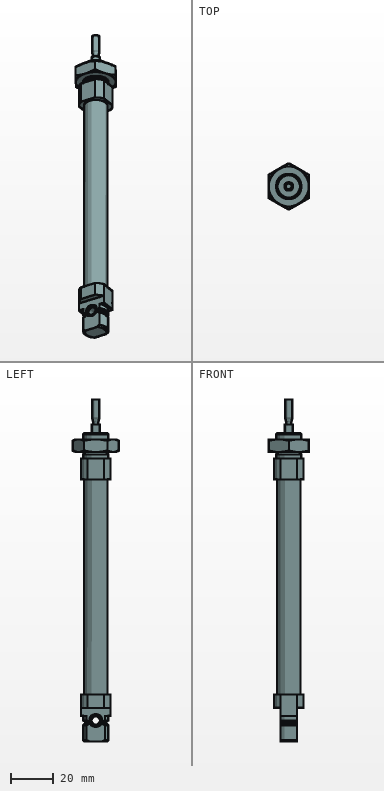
import cadquery as cq
import math

TOTAL_LENGTH = 162.2

ROD_DIA = 4.0
ROD_PROJECTION = 16.0
THREAD_DIA = 3.5
THREAD_LENGTH = 8.8
THREAD_TIP_DIA = 2.8
THREAD_TIP_CHAMFER = 0.2
RELIEF_DIA = 2.6
RELIEF_LENGTH = 3.1
RELIEF_TAPER_LENGTH = 2.0

NECK_DIA = 12.0
NECK_CORE_DIA = 10.65
NECK_CHAMFER = (NECK_DIA - NECK_CORE_DIA) / 2
NECK_LENGTH = 12.0
UNDERCUT_DIA = 10.0
UNDERCUT_CONE_HEIGHT = 1.1

NUT_ACROSS_FLATS = 19.0
NUT_HEIGHT = 6.0
NUT_OFFSET = 3.0
NUT_BEVEL_ANGLE = 25.0

TUBE_DIA = 11.3
CAP_DIA = 16.0
CAP_ACROSS_FLATS = 14.0
FRONT_CAP_LENGTH = 10.0
REAR_CAP_BOTTOM = 12.2
REAR_CAP_TOP = 22.4

TONGUE_WIDTH = 8.0
TONGUE_TOP = 16.0
STUB_END_DIA = 10.2
STUB_CHAMFER_HEIGHT = 0.8
GROOVE_DIA = 10.0
GROOVE_TOP = 10.0
GROOVE_TOP_TAPER = 0.4
GROOVE_BOTTOM = 8.6

HOLE_Z = 10.0
HOLE_DIA = 4.0
COUNTERBORE_DIA = 5.0
COUNTERBORE_DEPTH = 0.6
RIM_DIA = 6.0

neck_top = TOTAL_LENGTH - ROD_PROJECTION
front_cap_top = neck_top - NECK_LENGTH
front_cap_bottom = front_cap_top - FRONT_CAP_LENGTH
nut_top = neck_top - NUT_OFFSET
nut_bottom = nut_top - NUT_HEIGHT


def revolve_about_z(profile):
    """Solid of revolution from (radius, z) points, closed along the Z axis."""
    first_z = profile[0][1]
    last_z = profile[-1][1]
    outline = [(0, first_z)] + profile + [(0, last_z)]
    return cq.Workplane("XZ").polyline(outline).close().revolve(360, (0, 0), (0, 1))


def cylinder_between(diameter, bottom, top):
    return cq.Workplane("XY").workplane(offset=bottom).circle(diameter / 2).extrude(top - bottom)


def block_between(size_x, size_y, bottom, top):
    return cq.Workplane("XY").workplane(offset=bottom).rect(size_x, size_y).extrude(top - bottom)


def make_cap_block(bottom, top):
    """Round bar with four flats."""
    square = block_between(CAP_ACROSS_FLATS, CAP_ACROSS_FLATS, bottom, top)
    return cylinder_between(CAP_DIA, bottom, top).intersect(square)


def make_neck():
    outer = NECK_DIA / 2
    core = NECK_CORE_DIA / 2
    return revolve_about_z([
        (outer, front_cap_top),
        (outer, nut_bottom - UNDERCUT_CONE_HEIGHT),
        (UNDERCUT_DIA / 2, nut_bottom),
        (outer, nut_bottom),
        (outer, neck_top - NECK_CHAMFER),
        (core, neck_top),
    ])


def make_stub():
    """Round rear stub with a chamfered end and a groove at the swivel hole."""
    outer = NECK_DIA / 2
    groove = GROOVE_DIA / 2
    return revolve_about_z([
        (STUB_END_DIA / 2, 0),
        (outer, STUB_CHAMFER_HEIGHT),
        (outer, GROOVE_BOTTOM - (outer - groove)),
        (groove, GROOVE_BOTTOM),
        (groove, GROOVE_TOP - GROOVE_TOP_TAPER),
        (outer, GROOVE_TOP),
        (outer, REAR_CAP_BOTTOM),
    ])


def make_swivel_hole():
    """Cutter along X: a through hole, counterbored and chamfered at both tongue faces."""
    face = TONGUE_WIDTH / 2
    hole = HOLE_DIA / 2
    bore = COUNTERBORE_DIA / 2
    rim = RIM_DIA / 2
    bore_end = face - COUNTERBORE_DEPTH
    rim_end = face - (rim - bore)
    outline = [
        (-face, 0), (-face, rim), (-rim_end, bore), (-bore_end, bore), (-bore_end, hole),
        (bore_end, hole), (bore_end, bore), (rim_end, bore), (face, rim), (face, 0),
    ]
    cutter = cq.Workplane("XY").polyline(outline).close().revolve(360, (0, 0), (1, 0))
    return cutter.translate((0, 0, HOLE_Z))


def make_rear_end():
    full = make_stub().union(make_cap_block(REAR_CAP_BOTTOM, REAR_CAP_TOP))
    tongue_space = block_between(TONGUE_WIDTH, CAP_DIA, 0, TONGUE_TOP)
    cap_space = block_between(CAP_DIA, CAP_DIA, TONGUE_TOP, REAR_CAP_TOP)
    return full.intersect(tongue_space.union(cap_space)).cut(make_swivel_hole())


def make_housing():
    tube = cylinder_between(TUBE_DIA, REAR_CAP_TOP, front_cap_bottom)
    front_cap = make_cap_block(front_cap_bottom, front_cap_top).union(make_neck())
    return make_rear_end().union(tube).union(front_cap)


def make_rod():
    """Rod standing on the neck's front face, with a tapered relief behind the thread."""
    rod = ROD_DIA / 2
    relief = RELIEF_DIA / 2
    thread = THREAD_DIA / 2
    thread_bottom = TOTAL_LENGTH - THREAD_LENGTH
    shoulder = thread_bottom - RELIEF_LENGTH
    return revolve_about_z([
        (rod, neck_top),
        (rod, shoulder),
        (relief, shoulder),
        (relief, thread_bottom - RELIEF_TAPER_LENGTH),
        (thread, thread_bottom),
        (thread, TOTAL_LENGTH - THREAD_TIP_CHAMFER),
        (THREAD_TIP_DIA / 2, TOTAL_LENGTH),
    ])


def make_nut():
    """Hexagon nut with two flats facing X and conical bevels on both faces."""
    flat = NUT_ACROSS_FLATS / 2
    corner = NUT_ACROSS_FLATS / math.sqrt(3)
    bevel = (corner - flat) * math.tan(math.radians(NUT_BEVEL_ANGLE))
    hexagon = cq.Workplane("XY").workplane(offset=nut_bottom).polygon(6, 2 * corner).extrude(NUT_HEIGHT)
    hexagon = hexagon.rotate((0, 0, 0), (0, 0, 1), 30)
    bevel_envelope = revolve_about_z([
        (flat, nut_bottom),
        (corner, nut_bottom + bevel),
        (corner, nut_top - bevel),
        (flat, nut_top),
    ])
    return hexagon.intersect(bevel_envelope).cut(cylinder_between(NECK_DIA, nut_bottom, nut_top))


housing = make_housing()
rod = make_rod()
nut = make_nut()

result = cq.Compound.makeCompound([housing.solids().val(), rod.val(), nut.solids().val()])